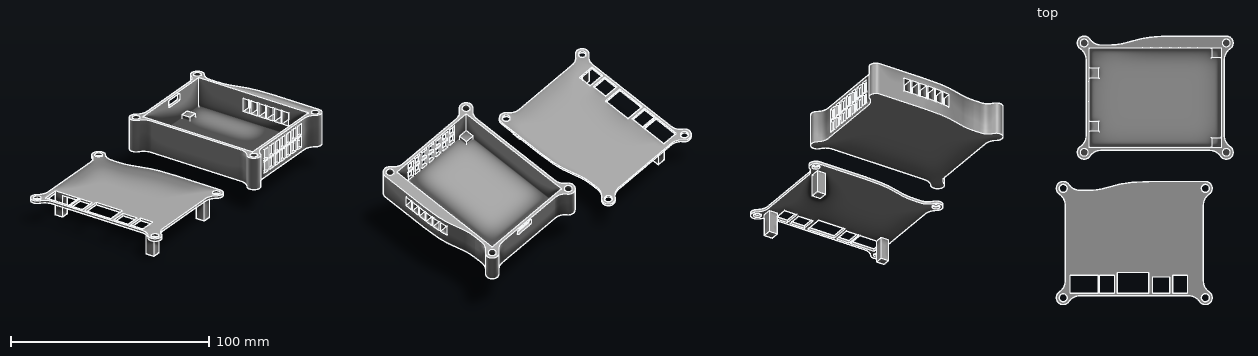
import cadquery as cq
import math

POST_SPAN_X = 71.7
POST_SPAN_Y = 55.1
POST_RADIUS = 3.5
SCREW_HOLE_DIAMETER = 3.9

WALL_INSET = 1.0
BLEND_RADIUS = 6.8
BULGE_START_X = 12.9
BULGE_MIDDLE = (28.0, 57.2)
BULGE_END_X = 44.7

CASE_HEIGHT = 18.0
CASE_OFFSET_X = 10.5
CASE_OFFSET_Y = 73.3
WALL = 1.5
FLOOR = 1.5
FLOOR_FILLET = 0.4

POCKET_X_MIN = WALL_INSET + WALL
POCKET_X_MAX = POST_SPAN_X - POCKET_X_MIN
POCKET_Y_MIN = WALL_INSET + WALL
POCKET_Y_MAX = POST_SPAN_Y - POCKET_Y_MIN

PAD_SIZE = 4.9
PAD_HEIGHT = 2.0
LOW_PAD_Y = 10.7
HIGH_PAD_Y = 37.5

PORT_WIDTH = 10.0
PORT_HEIGHT = 4.0
PORT_CORNER_RADIUS = 1.0
PORT_CENTER_Y = 30.8
PORT_CENTER_Z = 14.6

VENT_COLUMNS = 7
VENT_ROWS = 2
VENT_PITCH_Y = 5.0
VENT_PITCH_Z = 7.0
VENT_WIDTH = 3.5
VENT_HEIGHT = 6.4
VENT_TOP_Z = 16.0

SLOT_COUNT = 6
SLOT_PITCH = 4.7
SLOT_WIDTH = 3.9
SLOT_HEIGHT = 7.5
SLOT_FIRST_X = 29.5
SLOT_BOTTOM_Z = 6.8

LID_THICKNESS = 1.5
LEG_LENGTH = 12.3
OPENING_EDGE_Y = 2.3
LARGE_OPENING_TOP = 11.2
OPENINGS = [
    (3.5, 17.6, LARGE_OPENING_TOP),
    (18.4, 25.7, LARGE_OPENING_TOP),
    (27.4, 43.1, 12.6),
    (45.1, 53.7, 10.4),
    (55.3, 62.6, LARGE_OPENING_TOP),
]
SIDE_LEG_X_MIN = 3.3
SIDE_LEG_X_MAX = 7.7

POSTS = [(x, y) for x in (0, POST_SPAN_X) for y in (0, POST_SPAN_Y)]


def box(x_range, y_range, z_range):
    """Axis-aligned block spanning the three (low, high) ranges."""
    ranges = (x_range, y_range, z_range)
    sizes = [high - low for low, high in ranges]
    corner = tuple(low for low, high in ranges)
    return cq.Workplane("XY").box(*sizes, centered=False).translate(corner)


def blend_points():
    """Post end, middle and wall end of the blend arc from a post to a wall.

    The post axis is the origin and the wall runs along the first axis.
    """
    reach = POST_RADIUS + BLEND_RADIUS
    center_y = WALL_INSET - BLEND_RADIUS
    center_x = math.sqrt(reach**2 - center_y**2)
    post_end = (center_x * POST_RADIUS / reach, center_y * POST_RADIUS / reach)
    wall_end = (center_x, WALL_INSET)
    toward_x = (post_end[0] + wall_end[0]) / 2 - center_x
    toward_y = (post_end[1] + wall_end[1]) / 2 - center_y
    stretch = BLEND_RADIUS / math.hypot(toward_x, toward_y)
    middle = (center_x + toward_x * stretch, center_y + toward_y * stretch)
    return post_end, middle, wall_end


def corner(post_x, post_y):
    """Blend arcs and the outermost post point at one corner, as plan points.

    Returns the blend to the wall along X, the blend to the wall along Y, and the post point.
    """
    inward_x = 1 if post_x == 0 else -1
    inward_y = 1 if post_y == 0 else -1
    along_x = [(post_x + inward_x * u, post_y + inward_y * v) for u, v in blend_points()]
    along_y = [(post_x + inward_x * v, post_y + inward_y * u) for u, v in blend_points()]
    diagonal = POST_RADIUS / math.sqrt(2)
    outermost = (post_x - inward_x * diagonal, post_y - inward_y * diagonal)
    return along_x, along_y, outermost


def body_outline():
    """Plan outline: four posts blended into the walls, with a bulge along the +Y edge."""
    front_left_x, front_left_y, front_left_tip = corner(0, 0)
    front_right_x, front_right_y, front_right_tip = corner(POST_SPAN_X, 0)
    back_right_y, back_right_tip = corner(POST_SPAN_X, POST_SPAN_Y)[1:]
    back_left_x, back_left_y, back_left_tip = corner(0, POST_SPAN_Y)
    low_edge_y = POST_SPAN_Y - WALL_INSET
    high_edge_y = POST_SPAN_Y + POST_RADIUS
    return (
        cq.Workplane("XY")
        .moveTo(*front_left_x[2])
        .lineTo(*front_right_x[2])
        .threePointArc(front_right_x[1], front_right_x[0])
        .threePointArc(front_right_tip, front_right_y[0])
        .threePointArc(front_right_y[1], front_right_y[2])
        .lineTo(*back_right_y[2])
        .threePointArc(back_right_y[1], back_right_y[0])
        .threePointArc(back_right_tip, (POST_SPAN_X, high_edge_y))
        .lineTo(BULGE_END_X, high_edge_y)
        .spline(
            [BULGE_MIDDLE, (BULGE_START_X, low_edge_y)],
            tangents=[(-1, 0), (-1, 0)],
            includeCurrent=True,
        )
        .lineTo(*back_left_x[2])
        .threePointArc(back_left_x[1], back_left_x[0])
        .threePointArc(back_left_tip, back_left_y[0])
        .threePointArc(back_left_y[1], back_left_y[2])
        .lineTo(*front_left_y[2])
        .threePointArc(front_left_y[1], front_left_y[0])
        .threePointArc(front_left_tip, front_left_x[0])
        .threePointArc(front_left_x[1], front_left_x[2])
        .close()
    )


def screw_holes(bottom_z, top_z):
    """One screw hole on each post axis."""
    holes = cq.Workplane("XY").workplane(offset=bottom_z).pushPoints(POSTS)
    return holes.circle(SCREW_HOLE_DIAMETER / 2).extrude(top_z - bottom_z)


def pocket():
    """Case interior with the board pads left standing and a small fillet round the floor."""
    space = box((POCKET_X_MIN, POCKET_X_MAX), (POCKET_Y_MIN, POCKET_Y_MAX), (FLOOR, CASE_HEIGHT))
    pad_corners = [
        (POCKET_X_MIN, LOW_PAD_Y),
        (POCKET_X_MIN, HIGH_PAD_Y),
        (POCKET_X_MAX - PAD_SIZE, POCKET_Y_MIN),
        (POCKET_X_MAX - PAD_SIZE, POCKET_Y_MAX - PAD_SIZE),
    ]
    for x, y in pad_corners:
        space = space.cut(box((x, x + PAD_SIZE), (y, y + PAD_SIZE), (FLOOR, FLOOR + PAD_HEIGHT)))
    return space.faces("<Z").edges().fillet(FLOOR_FILLET)


def port():
    """Rounded window through the -X wall."""
    window = box(
        (0, POCKET_X_MIN),
        (PORT_CENTER_Y - PORT_WIDTH / 2, PORT_CENTER_Y + PORT_WIDTH / 2),
        (PORT_CENTER_Z - PORT_HEIGHT / 2, PORT_CENTER_Z + PORT_HEIGHT / 2),
    )
    return window.edges("|X").fillet(PORT_CORNER_RADIUS)


def vents():
    """Openings of the vent grid, centred along the +X wall."""
    first_y = (POST_SPAN_Y - (VENT_COLUMNS - 1) * VENT_PITCH_Y - VENT_WIDTH) / 2
    grid = cq.Workplane("XY")
    for column in range(VENT_COLUMNS):
        y = first_y + column * VENT_PITCH_Y
        for row in range(VENT_ROWS):
            top = VENT_TOP_Z - row * VENT_PITCH_Z
            opening = box((POCKET_X_MAX, POST_SPAN_X), (y, y + VENT_WIDTH), (top - VENT_HEIGHT, top))
            grid = grid.add(opening)
    return grid.combine()


def slots():
    """Row of upright slots right through the thick +Y wall."""
    row = cq.Workplane("XY")
    for index in range(SLOT_COUNT):
        x = SLOT_FIRST_X + index * SLOT_PITCH
        slot = box(
            (x, x + SLOT_WIDTH),
            (POCKET_Y_MAX, POST_SPAN_Y + POST_RADIUS),
            (SLOT_BOTTOM_Z, SLOT_BOTTOM_Z + SLOT_HEIGHT),
        )
        row = row.add(slot)
    return row.combine()


def make_case():
    """Open case with blind screw holes that stop at floor level."""
    body = body_outline().extrude(CASE_HEIGHT)
    body = body.cut(pocket()).cut(screw_holes(FLOOR, CASE_HEIGHT))
    body = body.cut(port()).cut(vents()).cut(slots())
    return body.translate((CASE_OFFSET_X, CASE_OFFSET_Y, 0))


def legs():
    """Three legs above the board pads; the opening beside the -X leg trims it."""
    corner_x = (POCKET_X_MAX - PAD_SIZE, POCKET_X_MAX)
    height = (-LEG_LENGTH, 0)
    front = box(corner_x, (POCKET_Y_MIN, POCKET_Y_MIN + PAD_SIZE), height)
    back = box(corner_x, (POCKET_Y_MAX - PAD_SIZE, POCKET_Y_MAX), height)
    side = box((SIDE_LEG_X_MIN, SIDE_LEG_X_MAX), (LARGE_OPENING_TOP, LOW_PAD_Y + PAD_SIZE), height)
    return [front, back, side]


def make_lid():
    """Flat lid with connector openings and three legs below it."""
    plate = body_outline().extrude(LID_THICKNESS)
    plate = plate.cut(screw_holes(0, LID_THICKNESS))
    for start, end, top in OPENINGS:
        plate = plate.cut(box((start, end), (OPENING_EDGE_Y, top), (0, LID_THICKNESS)))
    for leg in legs():
        plate = plate.union(leg)
    return plate


case = make_case()
lid = make_lid()
result = cq.Compound.makeCompound([case.val(), lid.val()])